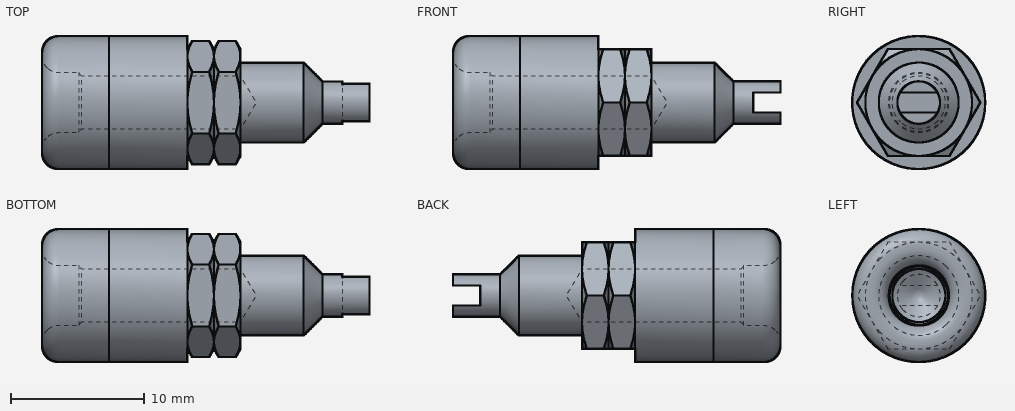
import cadquery as cq
import math


LENGTH = 24.55
OUTER_DIAMETER = 10.0
BARREL_DIAMETER = 6.0
PIN_DIAMETER = 3.2

CAP_END = 5.0
HOUSING_END = 10.9
BARREL_END = 19.62

NOSE_RADIUS = 1.25
MOUTH_DIAMETER = 4.52
BORE_DIAMETER = 3.98
TAPER_DIAMETER = 4.37
MOUTH_DEPTH = 2.77
BORE_TIP_ANGLE = 118.0

NUT_COUNT = 2
NUT_THICKNESS = 2.0
NUT_ACROSS_FLATS = 8.0
NUT_CHAMFER_ANGLE = 30.0

SLOT_WIDTH = 1.47
SLOT_LENGTH = 2.04

outer_radius = OUTER_DIAMETER / 2
barrel_radius = BARREL_DIAMETER / 2
pin_radius = PIN_DIAMETER / 2
mouth_radius = MOUTH_DIAMETER / 2
taper_radius = TAPER_DIAMETER / 2
bore_radius = BORE_DIAMETER / 2

pin_start = BARREL_END + barrel_radius - pin_radius
taper_end = MOUTH_DEPTH + taper_radius - bore_radius

bore_end = HOUSING_END + NUT_COUNT * NUT_THICKNESS
bore_tip = bore_end + bore_radius / math.tan(math.radians(BORE_TIP_ANGLE / 2))


def revolve_about_x(outline):
    """Close an outline of (x, radius) and turn it fully around the X axis."""
    return outline.close().revolve(360, (0, 0, 0), (1, 0, 0))


def make_cap():
    """Ring with a nose rounded outside and inside, and a bore right through.

    The wide mouth ends at a narrow ledge, where the bore starts with a taper.
    """
    arc_mid = NOSE_RADIUS * math.sqrt(0.5)
    outer_center = outer_radius - NOSE_RADIUS
    inner_center = mouth_radius + NOSE_RADIUS
    outline = (
        cq.Workplane("XY")
        .moveTo(CAP_END, bore_radius)
        .lineTo(CAP_END, outer_radius)
        .lineTo(NOSE_RADIUS, outer_radius)
        .threePointArc((NOSE_RADIUS - arc_mid, outer_center + arc_mid), (0, outer_center))
        .lineTo(0, inner_center)
        .threePointArc((NOSE_RADIUS - arc_mid, inner_center - arc_mid), (NOSE_RADIUS, mouth_radius))
        .lineTo(MOUTH_DEPTH, mouth_radius)
        .lineTo(MOUTH_DEPTH, taper_radius)
        .lineTo(taper_end, bore_radius)
    )
    return revolve_about_x(outline)


def make_nut(start):
    """Hex nut with corners along +Y and -Y, chamfered at both ends."""
    end = start + NUT_THICKNESS
    flat_radius = NUT_ACROSS_FLATS / 2
    corner_radius = flat_radius / math.cos(math.pi / 6)
    chamfer = (corner_radius - flat_radius) * math.tan(math.radians(NUT_CHAMFER_ANGLE))
    hexagon = (
        cq.Workplane("YZ", origin=(start, 0, 0))
        .polygon(6, 2 * corner_radius)
        .extrude(NUT_THICKNESS)
    )
    envelope = revolve_about_x(
        cq.Workplane("XY").polyline([
            (start, 0),
            (start, flat_radius),
            (start + chamfer, corner_radius),
            (end - chamfer, corner_radius),
            (end, flat_radius),
            (end, 0),
        ])
    )
    return hexagon.intersect(envelope)


def make_shank():
    """Round parts of the jack: housing, barrel, taper and solder pin."""
    return revolve_about_x(
        cq.Workplane("XY").polyline([
            (CAP_END, 0),
            (CAP_END, outer_radius),
            (HOUSING_END, outer_radius),
            (HOUSING_END, barrel_radius),
            (BARREL_END, barrel_radius),
            (pin_start, pin_radius),
            (LENGTH, pin_radius),
            (LENGTH, 0),
        ])
    )


def make_bore():
    """Blind plug bore that continues the bore of the cap."""
    return revolve_about_x(
        cq.Workplane("XY").polyline([
            (CAP_END, 0),
            (CAP_END, bore_radius),
            (bore_end, bore_radius),
            (bore_tip, 0),
        ])
    )


def make_pin_slot():
    """Slot along Y that splits the end of the pin into two prongs."""
    slot_center = LENGTH - SLOT_LENGTH / 2
    return cq.Workplane("XY", origin=(slot_center, 0, 0)).box(SLOT_LENGTH, PIN_DIAMETER, SLOT_WIDTH)


def make_jack():
    jack = make_shank()
    for index in range(NUT_COUNT):
        jack = jack.union(make_nut(HOUSING_END + index * NUT_THICKNESS))
    return jack.cut(make_bore()).cut(make_pin_slot())


cap = make_cap()
jack = make_jack()

result = cq.Compound.makeCompound([cap.val(), jack.solids().val()])